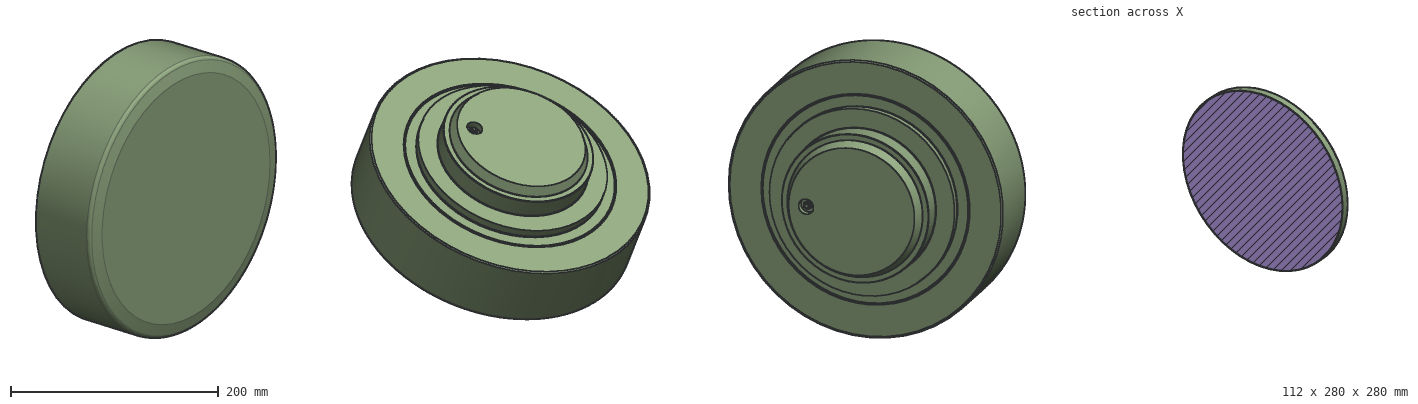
import cadquery as cq
import math

wheel_radius = 140.0
wheel_start = 40.3
total_length = 112.0
wheel_chamfer_length = 1.0
wheel_chamfer_height = 1.7
crown_start = 109.0
crown_outer_radius = 138.0
crown_end_radius = 125.0
crown_fillet = 4.0

flange_start = 30.2
flange_end = 38.5
flange_radius = 94.5
flange_neck_radius = 188.0 / 2
ring_start = 10.0
ring_radius = 150.0 / 2
ring_chamfer = 0.5
cap_radius = 138.0 / 2
cap_tip_radius = 64.0
cap_cone_length = 9.2

groove_outer_radius = 212.0 / 2
groove_inner_radius = 210.0 / 2
groove_depth = 1.0
groove_rim_chamfer = 0.42

bore_offset = 46.5
bore_diameter = 15.0
bore_depth = 7.0
collar_across_flats = 7.3
collar_depth = 4.0
tip_diameter = 5.3
tip_depth = 1.5
tip_chamfer = 0.5


def turned_body():
    """Revolve the half section; the sketch X is the axis and the sketch Y is the radius."""
    crown_slope = (crown_outer_radius - crown_end_radius) / (total_length - crown_start)
    crown_rise = wheel_radius - crown_outer_radius
    crown_corner = crown_start - crown_rise / crown_slope
    groove_rim = wheel_start + groove_rim_chamfer
    groove_floor = wheel_start + groove_depth
    section = (
        cq.Workplane("XY")
        .moveTo(0, 0)
        .lineTo(0, cap_tip_radius)
        .lineTo(cap_cone_length, cap_radius)
        .lineTo(ring_start, cap_radius)
        .lineTo(ring_start, ring_radius - ring_chamfer)
        .lineTo(ring_start + ring_chamfer, ring_radius)
        .lineTo(flange_start - ring_chamfer, ring_radius)
        .lineTo(flange_start, ring_radius + ring_chamfer)
        .lineTo(flange_start, flange_radius)
        .lineTo(flange_end, flange_radius)
        .lineTo(flange_end, flange_neck_radius)
        .lineTo(wheel_start, flange_neck_radius)
        .lineTo(wheel_start, groove_inner_radius - groove_rim_chamfer)
        .lineTo(groove_rim, groove_inner_radius)
        .lineTo(groove_floor, groove_inner_radius)
        .lineTo(groove_floor, groove_outer_radius)
        .lineTo(groove_rim, groove_outer_radius)
        .lineTo(wheel_start, groove_outer_radius + groove_rim_chamfer)
        .lineTo(wheel_start, wheel_radius - wheel_chamfer_height)
        .lineTo(wheel_start + wheel_chamfer_length, wheel_radius)
        .lineTo(crown_corner, wheel_radius)
        .lineTo(total_length, crown_end_radius)
        .lineTo(total_length, 0)
        .close()
    )
    body = section.revolve(360, (0, 0, 0), (1, 0, 0))
    return body.edges(cq.selectors.RadiusNthSelector(-1)).edges(">X").fillet(crown_fillet)


def nipple_recess():
    """Round bore with the hexagon collar and the round tip of the nipple left standing in it."""
    cap_face = cq.Workplane("YZ", origin=(0, bore_offset, 0))
    bore = cap_face.circle(bore_diameter / 2).extrude(bore_depth)
    across_corners = collar_across_flats / math.cos(math.pi / 6)
    collar = cap_face.workplane(offset=collar_depth).transformed(rotate=(0, 0, 90))
    collar = collar.polygon(6, across_corners).extrude(bore_depth - collar_depth)
    tip = cap_face.workplane(offset=tip_depth).circle(tip_diameter / 2).extrude(bore_depth - tip_depth)
    tip = tip.faces("<X").chamfer(tip_chamfer)
    return bore.cut(collar).cut(tip)


result = turned_body().cut(nipple_recess())